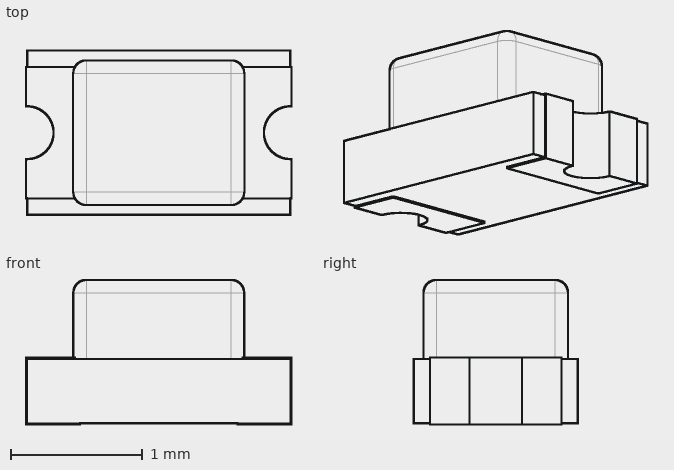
import cadquery as cq

substrate_length = 2.0
substrate_width = 1.25
substrate_thickness = 0.49

plating_thickness = 0.01
terminal_width = 1.0
terminal_length = 0.4

notch_radius = 0.2

lens_length = 1.3
lens_width = 1.1
lens_height = 0.6
lens_edge_radius = 0.1

substrate_bottom = plating_thickness
substrate_top = substrate_bottom + substrate_thickness
substrate_end = substrate_length / 2
terminal_height = substrate_thickness + 2 * plating_thickness


def block(length, width, height, center_x, bottom):
    """Box centred on Y, placed by its X centre and bottom height."""
    base = cq.Workplane("XY").box(length, width, height, centered=(True, True, False))
    return base.translate((center_x, 0, bottom))


def make_terminal(side):
    """Plating around one substrate end, filled solid; side is -1 or +1 along X."""
    length = terminal_length + plating_thickness
    center_x = side * (substrate_end + plating_thickness - length / 2)
    return block(length, terminal_width, terminal_height, center_x, 0)


def make_notch(side):
    """Cutter for an end notch: a half-round with straight flanks through the end plating."""
    round_part = cq.Workplane("XY").circle(notch_radius).extrude(terminal_height)
    round_part = round_part.translate((side * substrate_end, 0, 0))
    flank_center = side * (substrate_end + plating_thickness / 2)
    flanks = block(plating_thickness, 2 * notch_radius, terminal_height, flank_center, 0)
    return round_part.union(flanks)


def make_lens():
    """Lens block with rounded vertical and top edges."""
    lens = block(lens_length, lens_width, lens_height, 0, substrate_top)
    return lens.edges("|Z or >Z").fillet(lens_edge_radius)


result = block(substrate_length, substrate_width, substrate_thickness, 0, substrate_bottom)
for end_side in (-1, 1):
    result = result.union(make_terminal(end_side)).cut(make_notch(end_side))
result = result.union(make_lens())